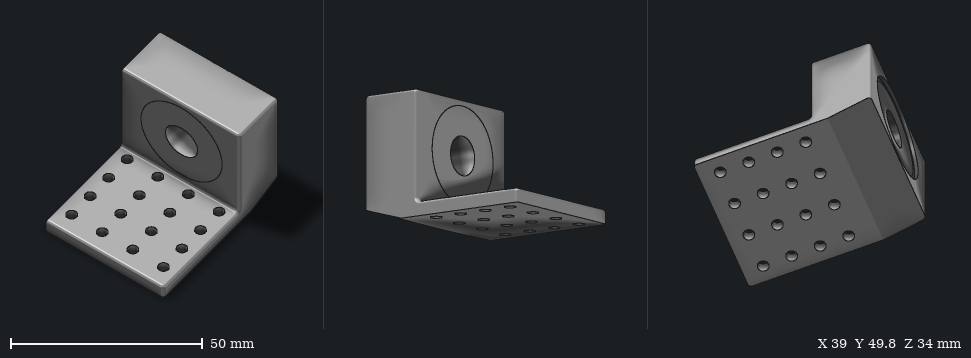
import cadquery as cq

width = 39.0
length = 49.8
height = 34.0
block_depth = 17.0
plate_thickness = 4.0
heel_depth = 12.0
heel_height = 3.5
edge_radius = 1.0
inner_corner_radius = 1.0

bushing_diameter = 26.5
bore_diameter = 10.5
flat_from_axis = 13.0
bushing_z = 19.0
bushing_from_left = 20.0

recess_step = 1.0
recess_diameter = bushing_diameter + 2 * recess_step
recess_depth = 1.0
bushing_length = block_depth - recess_depth

hole_diameter = 3.0
columns = 4
rows = 4
column_pitch = 10.0
row_pitch = 8.0
first_row_y = 5.8

left_x = -bushing_from_left
middle_x = left_x + width / 2
block_front_y = length - block_depth


def make_blank():
    """L-shaped side profile with a sloping heel, extruded across the width."""
    return (
        cq.Workplane("YZ", origin=(left_x, 0, 0))
        .moveTo(0, 0)
        .lineTo(length - heel_depth, 0)
        .lineTo(length, heel_height)
        .lineTo(length, height)
        .lineTo(block_front_y, height)
        .lineTo(block_front_y, plate_thickness)
        .lineTo(0, plate_thickness)
        .close()
        .extrude(width)
    )


def round_edges(blank):
    """Round the inner corner, then every edge except those of the underside and the sloping heel."""
    inner_corner = cq.selectors.NearestToPointSelector((middle_x, block_front_y, plate_thickness))
    softened = blank.edges(inner_corner).fillet(inner_corner_radius)

    upright_edges = softened.edges("|Z")
    side_arcs = softened.edges("%CIRCLE")
    top_edges = softened.faces(">Z").edges()
    plate_centre = (middle_x, block_front_y / 2, plate_thickness)
    plate_top = softened.faces(cq.selectors.NearestToPointSelector(plate_centre))
    plate_edges = plate_top.edges("|Y or <Y")
    return upright_edges.add(side_arcs).add(top_edges).add(plate_edges).fillet(edge_radius)


def cylinder_on_axis(diameter, back_y, depth):
    """Cylinder on the bushing axis, from its back end at back_y toward the front."""
    return (
        cq.Workplane("XZ", origin=(0, back_y, bushing_z))
        .circle(diameter / 2)
        .extrude(depth)
    )


def make_plate_holes():
    """Through holes in a grid centred across the width."""
    grid_middle_y = first_row_y + (rows - 1) * row_pitch / 2
    return (
        cq.Workplane("XY", origin=(middle_x, grid_middle_y, 0))
        .rarray(column_pitch, row_pitch, columns, rows)
        .circle(hole_diameter / 2)
        .extrude(plate_thickness)
    )


def make_bracket():
    """Rounded bracket with the round bushing hole, the back recess and the plate holes."""
    bushing_hole = cylinder_on_axis(bushing_diameter, length, block_depth)
    recess = cylinder_on_axis(recess_diameter, length, recess_depth)
    rounded = round_edges(make_blank())
    return rounded.cut(bushing_hole).cut(recess).cut(make_plate_holes())


def make_bushing():
    """Bored cylinder from the front of the block to the recess floor, cut flat along its underside."""
    back_y = block_front_y + bushing_length
    body = cylinder_on_axis(bushing_diameter, back_y, bushing_length)
    bore = cylinder_on_axis(bore_diameter, back_y, bushing_length)
    below_flat = (
        cq.Workplane("XY", origin=(0, block_front_y, bushing_z - flat_from_axis))
        .rect(bushing_diameter, 2 * bushing_length)
        .extrude(-bushing_diameter)
    )
    return body.cut(bore).cut(below_flat)


bracket = make_bracket()
bushing = make_bushing()

result = cq.Compound.makeCompound([bracket.val(), bushing.val()])